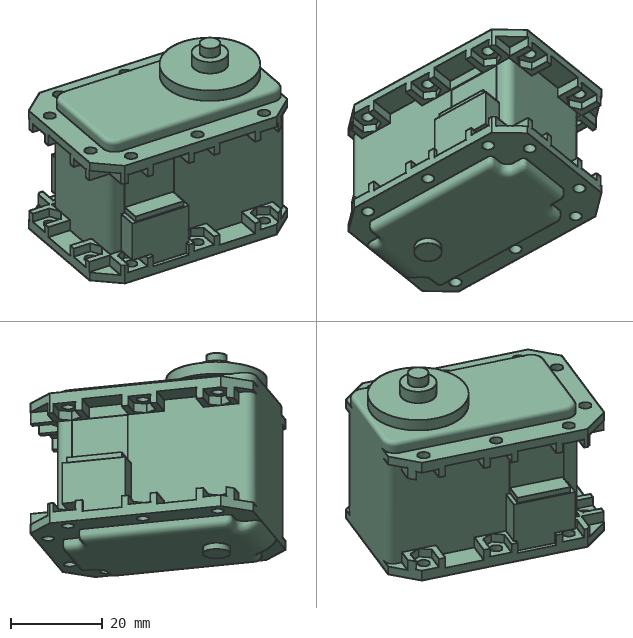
import cadquery as cq
import math


case_width = 24.4
case_length = 45.05
case_height = 35.7
cap_height = 2.75
shaft_to_end = 12.0
body_corner_radius = 2.0
cap_corner_radius = 3.0
cap_edge_radius = 1.0
case_back = shaft_to_end
case_front = case_back - case_length
case_middle = (case_back + case_front) / 2
half_width = case_width / 2

notch_size = 5.1
notch_inner_radius = 2.0
notch_outer_radius = 1.0
bottom_edge_radius = 1.5
end_curve_radius = 13.0 / 2

flange_overhang = 5.6
flange_height = 4.65
plate_thickness = 2.05
flange_chamfer_x = 5.1
flange_chamfer_y = 5.9
flange_length = 50.6
flange_front = case_back - flange_length
half_flange = half_width + flange_overhang

hole_diameter = 2.7
hole_inset = 2.8
hole_pitch = 17.0
end_to_first_hole = 7.4
side_hole_count = 3
pad_width = 8.0
nut_width = 5.0
nut_floor = 2.57

plug_to_end = 35.0
plug_width = 14.4
plug_reach = 16.85
plug_top = 16.8
plug_lip_width = 12.4
plug_lip_reach = 16.5
plug_lip_height = 1.3
plug_recess_width = 12.7
plug_recess_depth = 0.2
plug_middle = case_back - plug_to_end

shaft_steps = [(10.0, 0.7), (22.0, 2.7), (8.0, 2.95), (4.5, 2.4)]
pin_diameter = 6.0
pin_height = 1.4


def centered_box(width, length, height, x, y, bottom):
    box = cq.Workplane("XY").box(width, length, height, centered=(True, True, False))
    return box.translate((x, y, bottom))


def make_body():
    height = case_height - 2 * cap_height
    body = centered_box(case_width, case_length, height, 0, case_middle, cap_height)
    return body.edges("|Z").fillet(body_corner_radius)


def make_top_cap():
    cap = centered_box(case_width, case_length, cap_height, 0, case_middle, case_height - cap_height)
    return cap.edges("|Z").fillet(cap_corner_radius).faces(">Z").edges().fillet(cap_edge_radius)


def make_bottom_cap():
    curve_rise = end_curve_radius - cap_height
    curve_length = math.sqrt(end_curve_radius**2 - curve_rise**2)
    curve_start = case_back - curve_length
    half_angle = math.asin(curve_length / end_curve_radius) / 2
    curve_mid = (
        curve_start + end_curve_radius * math.sin(half_angle),
        end_curve_radius * (1 - math.cos(half_angle)),
    )
    cap = (
        cq.Workplane("YZ")
        .moveTo(case_front, cap_height)
        .lineTo(case_front, 0)
        .lineTo(curve_start, 0)
        .threePointArc(curve_mid, (case_back, cap_height))
        .close()
        .extrude(half_width, both=True)
    )
    for x in (-half_width, half_width):
        for y in (case_front, case_back):
            notch = centered_box(2 * notch_size, 2 * notch_size, cap_height, x, y, 0)
            cap = cap.cut(notch.edges("|Z").fillet(notch_inner_radius))
    notch_mouths = cap.edges("|Z").filter(lambda edge: is_notch_mouth(edge.Center()))
    cap = notch_mouths.fillet(notch_outer_radius)
    return cap.faces("<Z").edges().fillet(bottom_edge_radius)


def is_notch_mouth(point):
    on_side = math.isclose(abs(point.x), half_width, abs_tol=1e-4)
    on_front = math.isclose(point.y, case_front, abs_tol=1e-4)
    return on_side or on_front


def pad_places():
    """Position of each screw hole and the angle that turns its open side outward from -Y."""
    places = []
    for index in range(side_hole_count):
        y = case_back - end_to_first_hole - index * hole_pitch
        places.append((half_flange - hole_inset, y, 90))
        places.append((-half_flange + hole_inset, y, -90))
    for x in (-hole_pitch / 2, hole_pitch / 2):
        places.append((x, flange_front + hole_inset, 0))
    return places


def place(shape, x, y, angle):
    return shape.rotate((0, 0, 0), (0, 0, 1), angle).translate((x, y, 0))


def make_nut_pockets():
    """All nut pockets and screw holes of one flange, with its outer face at Z = 0."""
    pockets = cq.Workplane("XY")
    for x, y, angle in pad_places():
        pockets = pockets.add(place(make_nut_pocket(), x, y, angle))
    return pockets.combine()


def at_lower_flange(shape):
    return shape.translate((0, 0, cap_height))


def at_upper_flange(shape):
    return at_lower_flange(shape).mirror("XY", (0, 0, case_height / 2))


def make_pad():
    """Block around a screw hole at the origin, with its outer side toward -Y."""
    middle = flange_overhang / 2 - hole_inset
    return centered_box(pad_width, flange_overhang, flange_height, 0, middle, 0)


def make_nut_pocket():
    """Slot for a hexagonal nut, open toward -Y and pointed at its inner end, with its screw hole."""
    half_nut = nut_width / 2
    corner_reach = nut_width / math.sqrt(3)
    pocket = (
        cq.Workplane("XY")
        .workplane(offset=nut_floor)
        .moveTo(-half_nut, -hole_inset)
        .lineTo(half_nut, -hole_inset)
        .lineTo(half_nut, corner_reach / 2)
        .lineTo(0, corner_reach)
        .lineTo(-half_nut, corner_reach / 2)
        .close()
        .extrude(flange_height - nut_floor)
    )
    return pocket.union(make_cylinder(hole_diameter, flange_height, 0))


def make_outline(height):
    inner_x = half_flange - flange_chamfer_x
    back_y = case_back - flange_chamfer_y
    front_y = flange_front + flange_chamfer_y
    return (
        cq.Workplane("XY")
        .moveTo(-inner_x, flange_front)
        .lineTo(inner_x, flange_front)
        .lineTo(half_flange, front_y)
        .lineTo(half_flange, back_y)
        .lineTo(inner_x, case_back)
        .lineTo(-inner_x, case_back)
        .lineTo(-half_flange, back_y)
        .lineTo(-half_flange, front_y)
        .close()
        .extrude(height)
    )


def make_flange():
    """Flange with its flat outer face at Z = 0 and its pads upward."""
    flange = make_outline(plate_thickness)
    for x, y, angle in pad_places():
        flange = flange.union(place(make_pad(), x, y, angle))
    return flange.intersect(make_outline(flange_height))


def make_plugs():
    """Both plugs as bars that run through the case."""
    bottom = cap_height + plate_thickness
    plug = centered_box(2 * plug_reach, plug_width, plug_top - bottom, 0, plug_middle, bottom)
    lip = centered_box(2 * plug_lip_reach, plug_lip_width, plug_lip_height, 0, plug_middle, plug_top)
    return plug.union(lip)


def cut_plug_recesses(body):
    height = case_height - cap_height - flange_height - plug_top
    for x in (-half_width, half_width):
        recess = centered_box(2 * plug_recess_depth, plug_recess_width, height, x, plug_middle, plug_top)
        body = body.cut(recess)
    return body


def make_cylinder(diameter, height, bottom):
    return cq.Workplane("XY").workplane(offset=bottom).circle(diameter / 2).extrude(height)


def make_shaft():
    """Bottom pin, carried up through the case, with the output shaft on top."""
    bottom = case_height
    shaft = make_cylinder(pin_diameter, pin_height + case_height, -pin_height)
    for diameter, height in shaft_steps:
        shaft = shaft.union(make_cylinder(diameter, height, bottom))
        bottom += height
    return shaft


flange = make_flange()
nut_pockets = make_nut_pockets()

result = (
    cut_plug_recesses(make_body())
    .union(make_bottom_cap())
    .union(make_top_cap())
    .union(at_lower_flange(flange))
    .union(at_upper_flange(flange))
    .union(make_plugs())
    .union(make_shaft())
    .cut(at_lower_flange(nut_pockets))
    .cut(at_upper_flange(nut_pockets))
)